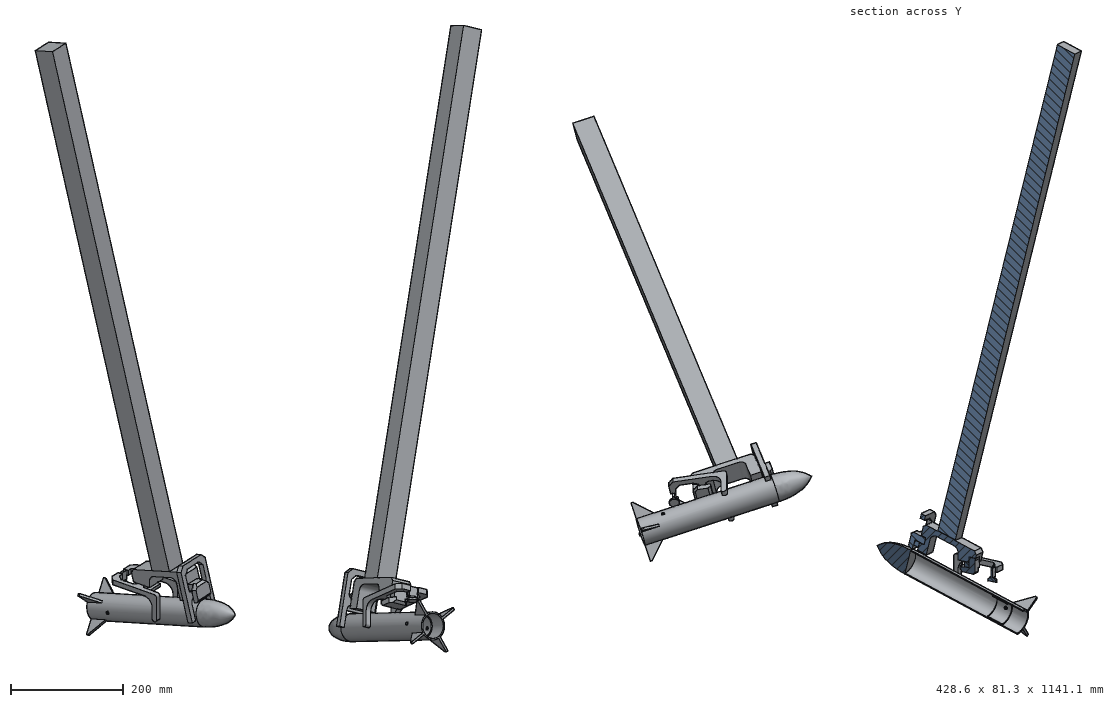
import cadquery as cq
import math

tilt = 15.0
cos_tilt = math.cos(math.radians(tilt))
sin_tilt = math.sin(math.radians(tilt))

tube_diameter = 50.0
tube_bore = 45.0
tube_length = 251.0
nose_length = 70.0
nose_shoulder = (32.0, 22.0)
nose_taper = (54.0, 14.0)
sleeve_bore = 40.0
sleeve_start = 34.0
sleeve_length = 33.0
hole_diameter = 6.0
hole_along = 47.0
fin_count = 4
first_fin_angle = 45
fin_thickness = 5.0
fin_tip_radius = 55.0
fin_tip_chord = 3.0
fin_root_chord = 33.0

beam_side = 40.0
beam_length = 1000.0
beam_along = 168.0

saddle_width = beam_side
saddle_top = 85.0
saddle_plate = 11.0
saddle_back = 119.0
saddle_front = 238.0
saddle_edge_chamfer = 6.0
front_foot_thickness = 20.0
front_foot_bottom = 31.0
rear_foot_inner_x = 135.0
saddle_corner_radius = 11.0

bar = 10.0
frame_width = 72.0
frame_length = 106.0
frame_corner_chamfer = 9.0
crossbar_from_end = 59.0
crossbar_width = 11.0
crossbar_fillet = 9.0
rear_frame_x = 56.0
rear_frame_top = 90.0
front_frame_end = 101.0
leg_length = 55.0
leg_inner_radius = 17.0
leg_outer_radius = 6.0

block_from_end = 41.0
block_length = 33.0
block_width = 38.0
block_thickness = 10.0
block_corner_chamfer = 9.0
block_end_chamfer = 5.0
neck_width = 27.0
neck_depth = 10.0

foot_stem_width = 17.0
foot_stem_thickness = 4.2
foot_stem_length = 8.0
foot_cone_height = 5.0
foot_neck_diameter = 10.0
foot_diameter = 18.0
foot_pad_height = 3.0

tube_radius = tube_diameter / 2
arm_center = (frame_width - bar) / 2
window_width = frame_width - 2 * bar
end_bar_center = bar / 2
crossbar_start = crossbar_from_end - crossbar_width / 2
crossbar_end = crossbar_from_end + crossbar_width / 2


def to_world(along, above):
    """World X and Z of a point given on the tilted axes."""
    return (along * cos_tilt - above * sin_tilt, along * sin_tilt + above * cos_tilt)


def tilted(body):
    return body.rotate((0, 0, 0), (0, 1, 0), -tilt)


def ring(start, length, outer, inner):
    return cq.Workplane("YZ", origin=(start, 0, 0)).circle(outer / 2).circle(inner / 2).extrude(length)


def cross_hole():
    """Hole from side to side through the tube and its sleeve."""
    hole = cq.Workplane("XZ", origin=(hole_along, 0, 0)).circle(hole_diameter / 2)
    return hole.extrude(tube_diameter, both=True)


def make_fin(angle):
    root_radius = (tube_diameter + tube_bore) / 4
    return (
        cq.Workplane("XZ")
        .moveTo(0, root_radius)
        .lineTo(0, fin_tip_radius)
        .lineTo(fin_tip_chord, fin_tip_radius)
        .lineTo(fin_root_chord, tube_radius)
        .lineTo(fin_root_chord, root_radius)
        .close()
        .extrude(fin_thickness / 2, both=True)
        .rotate((0, 0, 0), (1, 0, 0), angle)
    )


def make_tube():
    tube = ring(0, tube_length, tube_diameter, tube_bore)
    for i in range(fin_count):
        tube = tube.union(make_fin(first_fin_angle + i * 360 / fin_count))
    return tilted(tube.cut(cross_hole()))


def make_sleeve():
    return tilted(ring(sleeve_start, sleeve_length, tube_bore, sleeve_bore).cut(cross_hole()))


def make_nose():
    """Rounded cone whose side leaves the tube without a corner."""
    side = [nose_shoulder, nose_taper, (nose_length, 0)]
    profile = (
        cq.Workplane("XZ")
        .lineTo(0, tube_radius)
        .spline(side, tangents=[(1, 0), (1, -1)], includeCurrent=True)
        .close()
    )
    nose = profile.revolve(360, (0, 0, 0), (1, 0, 0))
    return tilted(nose.translate((tube_length, 0, 0)))


def make_beam():
    beam = cq.Workplane("XY").box(beam_side, beam_side, beam_length, centered=(False, True, False))
    return tilted(beam.translate((beam_along, 0, saddle_top)))


def make_saddle():
    """C-shaped bracket: a plate under the beam with a front foot and a level-bottomed rear foot."""
    foot_inner = saddle_front - front_foot_thickness
    plate_bottom = saddle_top - saddle_plate
    back_bottom_x = (saddle_back - rear_frame_top * sin_tilt) / cos_tilt
    rear_corner_z = (plate_bottom + rear_foot_inner_x * sin_tilt) / cos_tilt
    outline = [
        (back_bottom_x, rear_frame_top),
        to_world(saddle_back, saddle_top - saddle_edge_chamfer),
        to_world(saddle_back + saddle_edge_chamfer, saddle_top),
        to_world(saddle_front - saddle_edge_chamfer, saddle_top),
        to_world(saddle_front, saddle_top - saddle_edge_chamfer),
        to_world(saddle_front, front_foot_bottom),
        to_world(foot_inner, front_foot_bottom),
        to_world(foot_inner, plate_bottom),
        (rear_foot_inner_x, rear_corner_z),
        (rear_foot_inner_x, rear_frame_top),
    ]
    front_corner_x, front_corner_z = to_world(foot_inner, plate_bottom)
    saddle = cq.Workplane("XZ").polyline(outline).close().extrude(saddle_width / 2, both=True)
    for x, z in [(front_corner_x, front_corner_z), (rear_foot_inner_x, rear_corner_z)]:
        corner = cq.selectors.NearestToPointSelector((x, 0, z))
        saddle = saddle.edges("|Y").edges(corner).fillet(saddle_corner_radius)
    return saddle


def rear_plane():
    """Top of the rear frame at its back end, looking down, with x running forward."""
    return cq.Plane(origin=(rear_frame_x, 0, rear_frame_top), xDir=(1, 0, 0), normal=(0, 0, -1))


def front_plane():
    """Back of the front frame at its top end, looking forward, with x running down."""
    x, z = to_world(saddle_front, front_frame_end)
    return cq.Plane(origin=(x, 0, z), xDir=(sin_tilt, 0, -cos_tilt), normal=(cos_tilt, 0, sin_tilt))


def placed(body, plane):
    return cq.Workplane(body.val().moved(cq.Location(plane)))


def slab(start, end, width):
    box = cq.Workplane("XY").box(end - start, width, bar, centered=(False, True, False))
    return box.translate((start, 0, 0))


def make_flat_frame():
    """Two arms joined by an end bar with bevelled corners and by a crossbar."""
    frame = slab(0, frame_length, frame_width).edges("|Z and <X").chamfer(frame_corner_chamfer)
    window = slab(bar, crossbar_start, window_width)
    window = window.edges("|Z and <X").chamfer(frame_corner_chamfer)
    window = window.edges("|Z and >X").fillet(crossbar_fillet)
    gap = slab(crossbar_end, frame_length, window_width).edges("|Z and <X").fillet(crossbar_fillet)
    return frame.cut(window).cut(gap)


def make_leg(side):
    """Leg square to the end of an arm, with a rounded inner corner and a round tip."""
    inner = frame_length - bar
    bend = bar + leg_inner_radius
    tip = leg_length - bar / 2
    return (
        cq.Workplane("XZ", origin=(0, side * arm_center + bar / 2, 0))
        .moveTo(inner - leg_inner_radius, 0)
        .lineTo(frame_length, 0)
        .lineTo(frame_length, tip)
        .threePointArc((frame_length - bar / 2, leg_length), (inner, tip))
        .lineTo(inner, bend)
        .radiusArc((inner - leg_inner_radius, bar), leg_inner_radius)
        .close()
        .extrude(bar)
    )


def make_rear_frame():
    frame = make_flat_frame()
    for side in (-1, 1):
        frame = frame.union(make_leg(side))
    frame = frame.edges("|Y and >X and <Z").fillet(leg_outer_radius)
    return placed(frame.cut(slab(0, bar, foot_stem_width)), rear_plane())


def make_front_frame():
    return placed(make_flat_frame(), front_plane())


def make_block(plane):
    """Base against the far side of the frame, with a neck filling the frame up to its crossbar."""
    base = cq.Workplane("XY").box(block_length, block_width, block_thickness, centered=(False, True, False))
    base = base.edges("|Z and <X").chamfer(block_corner_chamfer)
    base = base.edges("|Y and >Z").chamfer(block_end_chamfer)
    neck_length = crossbar_start - block_from_end
    neck = (
        cq.Workplane("XY", origin=(0, 0, -neck_depth - bar))
        .box(neck_length, neck_width, neck_depth + bar, centered=(False, True, False))
    )
    return placed(base.union(neck).translate((block_from_end, 0, bar)), plane)


def make_foot():
    """Round pad on a flat stem that stands in the gap in the rear frame's end bar."""
    stem_end = bar + foot_stem_length
    pad_start = stem_end + foot_cone_height
    stem = (
        cq.Workplane("XY", origin=(end_bar_center, 0, 0))
        .rect(foot_stem_thickness, foot_stem_width)
        .extrude(stem_end)
    )
    pad = (
        cq.Workplane("XZ")
        .moveTo(0, stem_end)
        .lineTo(foot_neck_diameter / 2, stem_end)
        .lineTo(foot_diameter / 2, pad_start)
        .lineTo(foot_diameter / 2, pad_start + foot_pad_height)
        .lineTo(0, pad_start + foot_pad_height)
        .close()
        .revolve(360, (0, 0, 0), (0, 1, 0))
        .translate((end_bar_center, 0, 0))
    )
    return placed(stem.union(pad), rear_plane())


blocks = [make_block(plane) for plane in (rear_plane(), front_plane())]
tube = make_tube()
sleeve = make_sleeve()
nose = make_nose()
beam = make_beam()
rear_frame = make_rear_frame()
front_frame = make_front_frame()
foot = make_foot()
saddle = make_saddle()
for block in blocks:
    saddle = saddle.cut(block)

result = cq.Compound.makeCompound(
    [
        tube.val(),
        sleeve.val(),
        nose.val(),
        beam.val(),
        saddle.val(),
        rear_frame.val(),
        front_frame.val(),
        foot.val(),
        *[block.val() for block in blocks],
    ]
)